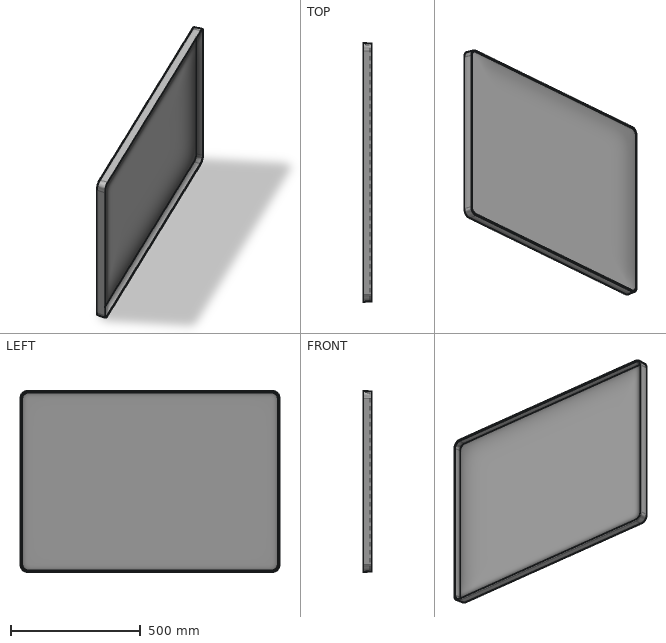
import cadquery as cq

depth = 33.0
width = 1000.0
height = 700.0
corner_radius = 30.0

rim_width = 6.0
draft_angle = 3.5
rim_edge_radius = 0.15

recess_depth = 26.0


def drafted_slab(inset):
    """Full-depth rounded slab, inset from the outer outline and narrowing toward +X."""
    return (
        cq.Workplane("YZ")
        .sketch()
        .rect(width - 2 * inset, height - 2 * inset)
        .vertices()
        .fillet(corner_radius - inset)
        .finalize()
        .extrude(depth, taper=draft_angle)
    )


def make_frame():
    """Drafted frame, open from front to back, with a slightly rounded outer front edge."""
    outer = drafted_slab(0).faces("<X").edges().fillet(rim_edge_radius)
    return outer.cut(drafted_slab(rim_width))


def make_panel():
    """Flat panel that fits the frame opening, from the bottom of the recess to the back."""
    recess = cq.Workplane("YZ").rect(width, height).extrude(recess_depth)
    return drafted_slab(rim_width).cut(recess)


frame = make_frame()
panel = make_panel()

result = cq.Compound.makeCompound([frame.val(), panel.val()])